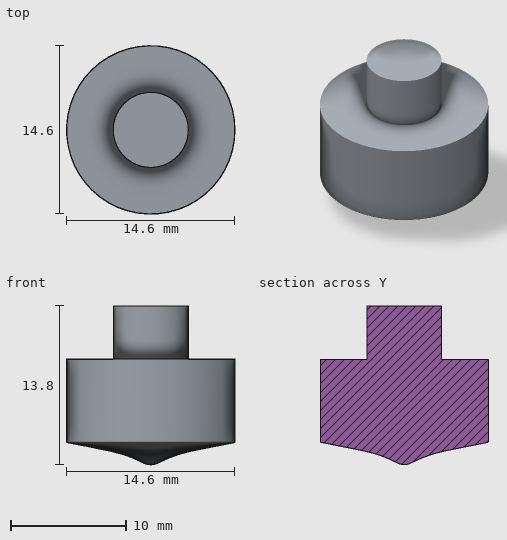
import cadquery as cq
import math

overall_height = 13.76
stem_diameter = 6.5
stem_height = 4.6
body_diameter = 14.6
edge_round_radius = 0.1

cone_slope = math.radians(11.3)
cone_inner_radius = 3.57
tip_round_radius = 1.3
tip_slope = math.radians(27.5)

stem_radius = stem_diameter / 2
body_radius = body_diameter / 2
shoulder_z = overall_height - stem_height

tip_edge_radius = tip_round_radius * math.sin(tip_slope)
flare_round_radius = (cone_inner_radius - tip_edge_radius) / (math.sin(tip_slope) - math.sin(cone_slope))
tip_center_z = tip_round_radius
flare_center_r = (tip_round_radius + flare_round_radius) * math.sin(tip_slope)
flare_center_z = tip_center_z - (tip_round_radius + flare_round_radius) * math.cos(tip_slope)

edge_center_r = body_radius - edge_round_radius


def tip_point(slope):
    """Point (r, z) on the convex tip round where its surface has this slope."""
    return (
        tip_round_radius * math.sin(slope),
        tip_center_z - tip_round_radius * math.cos(slope),
    )


def flare_point(slope):
    """Point (r, z) on the concave flare where its surface has this slope."""
    return (
        flare_center_r - flare_round_radius * math.sin(slope),
        flare_center_z + flare_round_radius * math.cos(slope),
    )


cone_inner = flare_point(cone_slope)
cone_outer_r = edge_center_r + edge_round_radius * math.sin(cone_slope)
cone_outer_z = cone_inner[1] + (cone_outer_r - cone_inner_radius) * math.tan(cone_slope)
edge_center_z = cone_outer_z + edge_round_radius * math.cos(cone_slope)


def edge_point(slope):
    """Point (r, z) on the lower edge round where its surface has this slope."""
    return (
        edge_center_r + edge_round_radius * math.sin(slope),
        edge_center_z - edge_round_radius * math.cos(slope),
    )


def half_profile():
    """Closed half section in the XZ plane, from the tip out and up to the stem."""
    vertical = math.pi / 2
    return (
        cq.Workplane("XZ")
        .moveTo(*tip_point(0))
        .threePointArc(tip_point(tip_slope / 2), tip_point(tip_slope))
        .threePointArc(flare_point((tip_slope + cone_slope) / 2), cone_inner)
        .lineTo(*edge_point(cone_slope))
        .threePointArc(edge_point((cone_slope + vertical) / 2), edge_point(vertical))
        .lineTo(body_radius, shoulder_z)
        .lineTo(stem_radius, shoulder_z)
        .lineTo(stem_radius, overall_height)
        .lineTo(0, overall_height)
        .close()
    )


result = half_profile().revolve(360, (0, 0, 0), (0, 1, 0))